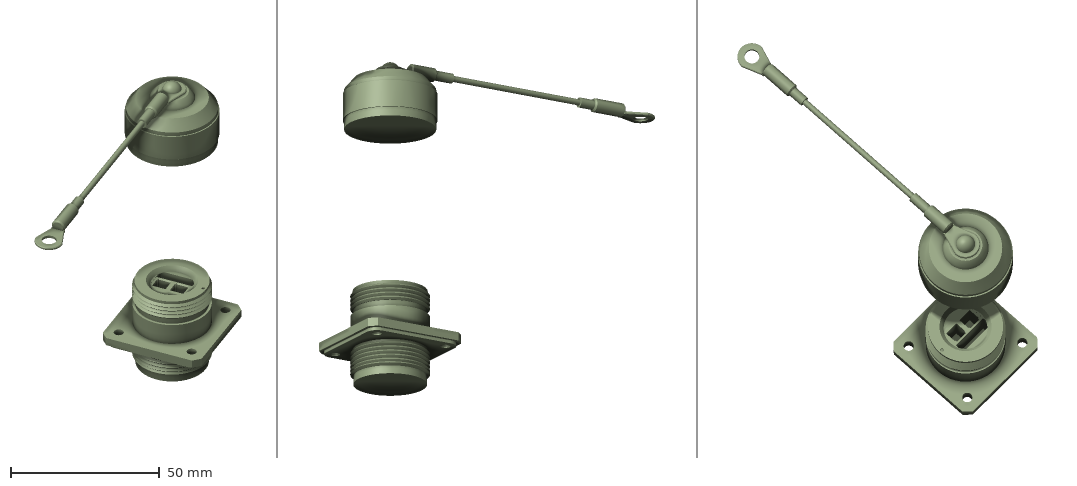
import cadquery as cq
import math


overall_length = 121.6

base_height = 2.8
base_diameter = 24.8
thread_root_diameter = 25.3
thread_crest_diameter = 26.9
thread_pitch = 1.5
runout_crest_z = 3.5
lower_crest_count = 5
lower_first_crest_z = 4.7
upper_crest_count = 4
upper_first_crest_z = 26.6
collar_diameter = 26.8
collar_top_z = 23.7
neck_diameter = 24.9
shell_height = 32.8
mouth_diameter = 17.5
lip_diameter = 14.7
mouth_depth = 1.6
index_hole_diameter = 1.2
index_hole_radius = 11.5
index_hole_depth = 0.6

flange_side = 36.6
flange_corner_diameter = 48.4
flange_bottom_z = 13.1
flange_thickness = 2.9
gasket_side = 34.4
gasket_corner_radius = 3.8
gasket_thickness = 1.1
mount_hole_diameter = 3.4
mount_hole_pitch = 27.0

insert_top_z = shell_height - mouth_depth
insert_diameter = mouth_diameter
recess_length = 13.4
recess_width = 10.5
recess_depth = 0.1
cavity_depth = 9.7
trench_inner_y = 1.8
port_spacing = 6.6
port_length = 5.0
port_front_y = -3.5
port_back_y = 0.6
keyway_length = 4.3
keyway_back_y = 1.5
keyway_bevel = 0.4

cap_bottom_z = 90.0
skirt_height = 3.2
grip_height = 9.2
shoulder_height = 1.5
cone_height = 3.6
cap_diameter = 31.9
skirt_diameter = 31.0
cap_top_diameter = 24.7
boss_base_diameter = 15.6
boss_top_diameter = 11.3
boss_height = 2.7
boss_bulge = 0.18
stud_diameter = 5.0
stud_head_diameter = 6.5
stud_head_height = 2.4

tongue_thickness = 1.0
tongue_half_width = 4.9
tongue_edge_chamfer = 0.2
barrel_diameter = 4.7
barrel_chamfer = 0.5
barrel_axis_lift = 1.3
sleeve_diameter = 3.4
sleeve_end_distance = 24.2
cap_barrel_start = 7.5
cap_barrel_end = 17.4
free_barrel_start = 6.9
free_barrel_end = 18.9
cable_diameter = 2.1
free_ring_y = flange_side / 2 - overall_length + tongue_half_width

flange_top_z = flange_bottom_z + flange_thickness
gasket_bottom_z = flange_bottom_z - gasket_thickness
grip_bottom_z = cap_bottom_z + skirt_height
shoulder_bottom_z = grip_bottom_z + grip_height
cone_bottom_z = shoulder_bottom_z + shoulder_height
boss_bottom_z = cone_bottom_z + cone_height
tongue_bottom_z = boss_bottom_z + boss_height
tongue_top_z = tongue_bottom_z + tongue_thickness
barrel_axis_z = tongue_top_z - tongue_thickness / 2 + barrel_axis_lift


def disc(diameter, bottom_z, top_z):
    """Cylinder on the Z axis between two levels."""
    return cq.Workplane("XY").workplane(offset=bottom_z).circle(diameter / 2).extrude(top_z - bottom_z)


def mount_holes(bottom_z, height):
    """Four drills at the corners of the mounting pattern."""
    return (
        cq.Workplane("XY").workplane(offset=bottom_z)
        .rect(mount_hole_pitch, mount_hole_pitch, forConstruction=True)
        .vertices().circle(mount_hole_diameter / 2).extrude(height)
    )


def box_between(x_min, x_max, y_min, y_max, top_z, depth):
    """Upright box given by its plan limits, its top level and its depth."""
    return cq.Workplane("XY").box(
        x_max - x_min, y_max - y_min, depth, centered=False
    ).translate((x_min, y_min, top_z - depth))


def thread_points(first_crest_z, crest_count):
    """Zigzag outline of parallel V-shaped thread ridges, from bottom to top."""
    points = [(thread_root_diameter / 2, first_crest_z - thread_pitch / 2)]
    for index in range(crest_count):
        crest_z = first_crest_z + index * thread_pitch
        points.append((thread_crest_diameter / 2, crest_z))
        points.append((thread_root_diameter / 2, crest_z + thread_pitch / 2))
    return points


def make_shell():
    """Threaded shell with a corner-trimmed square flange and a stepped through bore."""
    thread_depth = (thread_crest_diameter - thread_root_diameter) / 2
    runout_groove_depth = thread_depth * (lower_first_crest_z - runout_crest_z) / thread_pitch
    lower_thread = thread_points(lower_first_crest_z, lower_crest_count)[1:]
    upper_thread = thread_points(upper_first_crest_z, upper_crest_count)
    profile = [
        (insert_diameter / 2, 0),
        (base_diameter / 2, 0),
        (base_diameter / 2, base_height),
        (thread_crest_diameter / 2, runout_crest_z),
        (thread_crest_diameter / 2 - runout_groove_depth, (runout_crest_z + lower_first_crest_z) / 2),
        *lower_thread,
        (thread_root_diameter / 2, flange_bottom_z),
        (collar_diameter / 2, flange_bottom_z),
        (collar_diameter / 2, collar_top_z),
        (neck_diameter / 2, collar_top_z),
        (neck_diameter / 2, upper_thread[0][1]),
        *upper_thread,
        (thread_root_diameter / 2, shell_height),
        (mouth_diameter / 2, shell_height),
        (lip_diameter / 2, insert_top_z),
        (insert_diameter / 2, insert_top_z),
    ]
    body = cq.Workplane("XZ").polyline(profile).close().revolve(360, (0, 0, 0), (0, 1, 0))
    flange = (
        cq.Workplane("XY").workplane(offset=flange_bottom_z)
        .rect(flange_side, flange_side).extrude(flange_thickness)
        .intersect(disc(flange_corner_diameter, flange_bottom_z, flange_top_z))
        .cut(mount_holes(flange_bottom_z, flange_thickness))
        .cut(disc(thread_root_diameter, flange_bottom_z, flange_top_z))
    )
    index_hole = disc(index_hole_diameter, shell_height - index_hole_depth, shell_height)
    return body.union(flange).cut(index_hole.translate((index_hole_radius, 0, 0)))


def make_gasket():
    """Thin square seal under the flange, around the thread root."""
    return (
        cq.Workplane("XY").workplane(offset=gasket_bottom_z)
        .rect(gasket_side, gasket_side).extrude(gasket_thickness)
        .edges("|Z").fillet(gasket_corner_radius)
        .cut(disc(thread_root_diameter, gasket_bottom_z, flange_bottom_z))
        .cut(mount_holes(gasket_bottom_z, gasket_thickness))
    )


def make_insert():
    """Cylindrical core with a shallow recess, a trench and two keyed ports."""
    half_length = recess_length / 2
    half_width = recess_width / 2
    recess_floor_z = insert_top_z - recess_depth
    cavity_floor_z = insert_top_z - cavity_depth
    keyway_profile = [
        (port_back_y, cavity_floor_z),
        (keyway_back_y - keyway_bevel, cavity_floor_z),
        (keyway_back_y - keyway_bevel, recess_floor_z - keyway_bevel),
        (keyway_back_y, recess_floor_z),
        (port_back_y, recess_floor_z),
    ]
    core = disc(insert_diameter, 0, insert_top_z)
    recess = box_between(-half_length, half_length, -half_width, half_width, insert_top_z, recess_depth)
    trench = box_between(-half_length, half_length, trench_inner_y, half_width, insert_top_z, cavity_depth)
    core = core.cut(recess).cut(trench)
    for port_x in (-port_spacing / 2, port_spacing / 2):
        port = box_between(
            port_x - port_length / 2, port_x + port_length / 2,
            port_front_y, port_back_y, insert_top_z, cavity_depth,
        )
        keyway = (
            cq.Workplane("YZ", origin=(port_x - keyway_length / 2, 0, 0))
            .polyline(keyway_profile).close().extrude(keyway_length)
        )
        core = core.cut(port).cut(keyway)
    return core


def make_cap():
    """Stepped cap with a rounded boss and a headed stud that holds a ring terminal."""
    boss_middle = (
        (boss_base_diameter + boss_top_diameter) / 4 + boss_bulge,
        boss_bottom_z + boss_height / 2 + boss_bulge,
    )
    head_radius = stud_head_diameter / 2
    dome_radius = (head_radius**2 + stud_head_height**2) / (2 * stud_head_height)
    dome_angle = math.asin(head_radius / dome_radius) / 2
    dome_middle = (
        dome_radius * math.sin(dome_angle),
        tongue_top_z + stud_head_height - dome_radius * (1 - math.cos(dome_angle)),
    )
    return (
        cq.Workplane("XZ")
        .moveTo(0, cap_bottom_z)
        .lineTo(skirt_diameter / 2, cap_bottom_z)
        .lineTo(skirt_diameter / 2, grip_bottom_z)
        .lineTo(cap_diameter / 2, grip_bottom_z)
        .lineTo(cap_diameter / 2, shoulder_bottom_z)
        .lineTo(skirt_diameter / 2, shoulder_bottom_z)
        .lineTo(skirt_diameter / 2, cone_bottom_z)
        .lineTo(cap_top_diameter / 2, boss_bottom_z)
        .lineTo(boss_base_diameter / 2, boss_bottom_z)
        .threePointArc(boss_middle, (boss_top_diameter / 2, tongue_bottom_z))
        .lineTo(stud_diameter / 2, tongue_bottom_z)
        .lineTo(stud_diameter / 2, tongue_top_z)
        .lineTo(head_radius, tongue_top_z)
        .threePointArc(dome_middle, (0, tongue_top_z + stud_head_height))
        .close()
        .revolve(360, (0, 0, 0), (0, 1, 0))
    )


def rod(diameter, start_y, end_y):
    """Round rod along -Y at the height of the cable axis."""
    return (
        cq.Workplane("XZ", origin=(0, start_y, barrel_axis_z))
        .circle(diameter / 2).extrude(start_y - end_y)
    )


def make_terminal(barrel_start, barrel_end):
    """Ring terminal with its hole on the Z axis and its barrel pointing toward -Y."""
    tongue = (
        cq.Workplane("XY").workplane(offset=tongue_bottom_z)
        .moveTo(-barrel_diameter / 2, -barrel_start)
        .lineTo(-tongue_half_width, 0)
        .threePointArc((0, tongue_half_width), (tongue_half_width, 0))
        .lineTo(barrel_diameter / 2, -barrel_start)
        .close().extrude(tongue_thickness)
        .faces("|Z").chamfer(tongue_edge_chamfer)
        .cut(disc(stud_diameter, tongue_bottom_z, tongue_top_z))
    )
    barrel = rod(barrel_diameter, -barrel_start, -barrel_end).faces("<Y or >Y").chamfer(barrel_chamfer)
    sleeve = rod(sleeve_diameter, -barrel_end, -sleeve_end_distance)
    root = (
        cq.Workplane("XY").workplane(offset=tongue_bottom_z)
        .center(0, -barrel_start - barrel_chamfer / 2)
        .rect(barrel_diameter, barrel_chamfer).extrude(tongue_thickness)
    )
    return tongue.union(root).union(barrel).union(sleeve)


shell = make_shell()
gasket = make_gasket()
insert = make_insert()
cap = make_cap()
cap_terminal = make_terminal(cap_barrel_start, cap_barrel_end)
free_terminal = (
    make_terminal(free_barrel_start, free_barrel_end)
    .rotate((0, 0, 0), (0, 0, 1), 180)
    .translate((0, free_ring_y, 0))
)
cable = rod(cable_diameter, -sleeve_end_distance, free_ring_y + sleeve_end_distance)

result = cq.Compound.makeCompound([
    shell.val(),
    gasket.val(),
    insert.val(),
    cap.val(),
    cap_terminal.val(),
    free_terminal.val(),
    cable.val(),
])